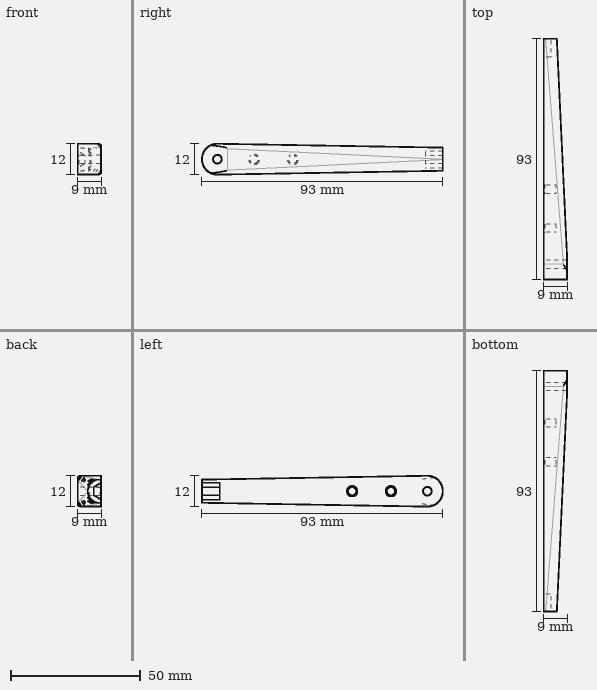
import cadquery as cq
import math

length = 93.0
pivot_radius = 6.0
tip_half_height = 4.51
pivot_thickness = 9.0
tip_thickness = 5.1
tip_y = length - pivot_radius

tip_edge_radius = 4.5
end_edge_radius = 1.5
envelope_end_thickness = 9.5

pivot_hole_diameter = 3.3
screw_hole_diameter = 3.2
screw_hole_rim_diameter = 4.1
screw_hole_depth = 4.65
screw_hole_positions = (14.0, 29.0)

notch_length = 6.9
notch_depth = 2.8
notch_mouth_half_height = 3.3
notch_floor_half_height = 1.6

tip_distance = math.hypot(tip_y, tip_half_height)
tangent_angle = math.atan2(tip_y, tip_half_height) - math.acos(pivot_radius / tip_distance)
tangent_y = pivot_radius * math.sin(tangent_angle)
tangent_z = pivot_radius * math.cos(tangent_angle)


def side_outline():
    """Tapered outline with a round pivot end, extruded through the full thickness."""
    return (
        cq.Workplane("YZ")
        .moveTo(tip_y, -tip_half_height)
        .lineTo(tip_y, tip_half_height)
        .lineTo(tangent_y, tangent_z)
        .threePointArc((-pivot_radius, 0), (tangent_y, -tangent_z))
        .close()
        .extrude(pivot_thickness)
    )


def rounded_section(y, thickness, half_height, edge_radius):
    """XZ cross-section at y, with its two +X corners rounded."""
    flat_x = thickness - edge_radius
    flat_z = half_height - edge_radius
    diagonal = edge_radius * math.sqrt(0.5)
    return (
        cq.Workplane("XZ", origin=(0, y, 0))
        .moveTo(0, -half_height)
        .lineTo(flat_x, -half_height)
        .threePointArc((flat_x + diagonal, -flat_z - diagonal), (thickness, -flat_z))
        .lineTo(thickness, flat_z)
        .threePointArc((flat_x + diagonal, flat_z + diagonal), (flat_x, half_height))
        .lineTo(0, half_height)
        .close()
    )


def rounded_envelope():
    """Tapering rounded bar that runs past the pivot end and overshoots the +X face there."""
    flank_slope = (tangent_z - tip_half_height) / (tip_y - tangent_y)
    end_half_height = tip_half_height + flank_slope * length
    end_section = rounded_section(-pivot_radius, envelope_end_thickness, end_half_height, end_edge_radius)
    tip_section = rounded_section(tip_y, tip_thickness, tip_half_height, tip_edge_radius)
    return cq.Workplane(obj=cq.Solid.makeLoft([end_section.val(), tip_section.val()], True))


def pivot_hole():
    return cq.Workplane("YZ").circle(pivot_hole_diameter / 2).extrude(pivot_thickness)


def screw_hole(y):
    """Blind hole with a 45-degree countersunk rim."""
    radius = screw_hole_diameter / 2
    rim_radius = screw_hole_rim_diameter / 2
    bore = cq.Workplane("YZ").center(y, 0).circle(radius).extrude(screw_hole_depth)
    rim = cq.Solid.makeCone(
        rim_radius, radius, rim_radius - radius, cq.Vector(0, y, 0), cq.Vector(1, 0, 0)
    )
    return bore.union(cq.Workplane(obj=rim))


def tip_notch():
    """Trapezoidal notch cut into the -X face and open at the tip."""
    return (
        cq.Workplane("XZ", origin=(0, tip_y, 0))
        .moveTo(0, -notch_mouth_half_height)
        .lineTo(notch_depth, -notch_floor_half_height)
        .lineTo(notch_depth, notch_floor_half_height)
        .lineTo(0, notch_mouth_half_height)
        .close()
        .extrude(notch_length)
    )


arm = side_outline().intersect(rounded_envelope())
arm = arm.cut(pivot_hole()).cut(tip_notch())
for hole_y in screw_hole_positions:
    arm = arm.cut(screw_hole(hole_y))
result = arm